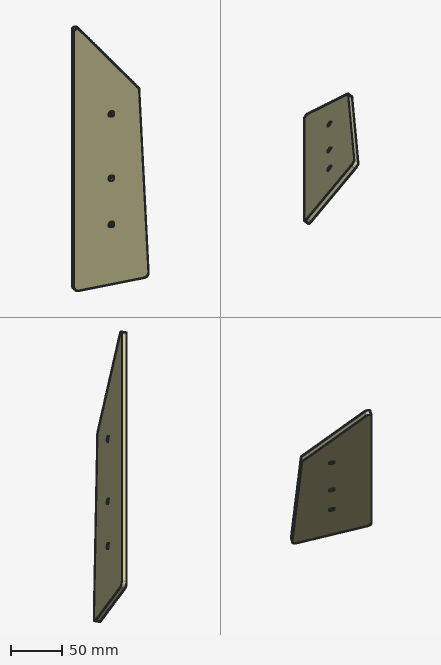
import cadquery as cq
import math

thickness = 5.0
height = 284.8
base_width = 80.0

knee_y = 69.8
knee_z = 206.5

base_radius = 5.0
upper_radius = 3.0

run_to_knee = knee_y - upper_radius
drop_to_knee = height - upper_radius - knee_z
center_to_knee = math.hypot(run_to_knee, drop_to_knee)
slope_angle = math.atan2(drop_to_knee, run_to_knee) + math.asin(upper_radius / center_to_knee)
apex_z = knee_z + knee_y * math.tan(slope_angle)

hole_diameter = 5.7
hole_y = base_width / 2
hole_heights = (65.0, 115.0, 184.8)


def round_corner(body, y, z, radius):
    """Round the through-thickness edge nearest to the outline corner (y, z)."""
    corner = cq.selectors.NearestToPointSelector((thickness / 2, y, z))
    return body.edges("|X").edges(corner).fillet(radius)


def make_blank():
    """Plate with sharp corners, its straight front edge on Y = 0."""
    outline = [
        (0, 0),
        (base_width, 0),
        (knee_y, knee_z),
        (0, apex_z),
    ]
    return cq.Workplane("YZ").polyline(outline).close().extrude(thickness)


plate = make_blank()
plate = round_corner(plate, 0, 0, base_radius)
plate = round_corner(plate, base_width, 0, base_radius)
plate = round_corner(plate, knee_y, knee_z, upper_radius)
plate = round_corner(plate, 0, apex_z, upper_radius)

hole_centers = [(hole_y, z) for z in hole_heights]
holes = (
    cq.Workplane("YZ")
    .pushPoints(hole_centers)
    .circle(hole_diameter / 2)
    .extrude(thickness)
)

result = plate.cut(holes)